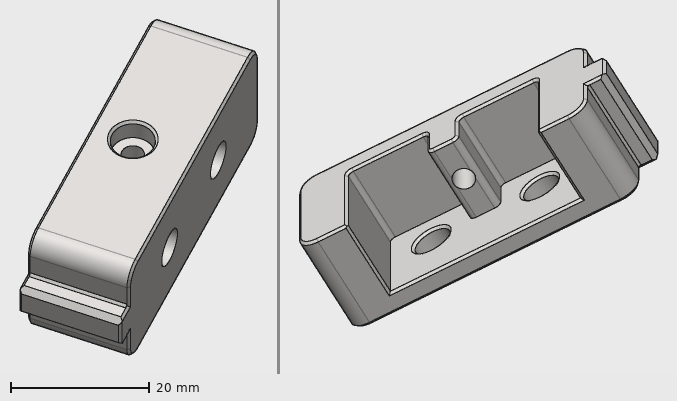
import cadquery as cq

width = 16.0
total_length = 50.85
height = 20.0
rail_projection = 3.15
body_length = total_length - rail_projection
corner_radius = 3.05
edge_chamfer = 0.4

rail_height = 5.7
rail_chamfer = 0.9

back_wall = 3.2
pocket_depth = width - back_wall
pocket_width = 31.55
pocket_ceiling = 6.0
pocket_radius = 0.8
block_width = 5.1
block_bottom = 0.0
block_radius = 1.0

wall_hole_diameter = 5.8
wall_hole_spacing = 18.0
screw_hole_diameter = 3.4
screw_head_diameter = 6.5
screw_head_depth = 3.45
screw_x = pocket_depth / 2


def make_body():
    """Rounded bar spanning 0..width in X, with a plain rectangular rail on its -Y face."""
    bar = (
        cq.Workplane("YZ")
        .rect(body_length, height)
        .extrude(width)
        .edges("|X")
        .fillet(corner_radius)
    )
    rail_start = -body_length / 2 - rail_projection
    rail = (
        cq.Workplane("XY")
        .box(width, rail_projection + corner_radius, rail_height, centered=(False, False, True))
        .translate((0, rail_start, 0))
    )
    return bar.union(rail)


def chamfer_rail(part):
    """Chamfer the rail's two tip edges and fill its two root corners."""
    face_y = -body_length / 2
    tip_y = face_y - rail_projection
    for side in (-1, 1):
        root_z = side * rail_height / 2
        fill = (
            cq.Workplane("YZ", origin=(edge_chamfer, 0, 0))
            .moveTo(face_y, root_z + side * edge_chamfer)
            .lineTo(face_y - edge_chamfer, root_z)
            .lineTo(face_y, root_z)
            .close()
            .extrude(width - 2 * edge_chamfer)
        )
        corner_cut = (
            cq.Workplane("YZ")
            .moveTo(tip_y, root_z)
            .lineTo(tip_y + rail_chamfer, root_z)
            .lineTo(tip_y, root_z - side * rail_chamfer)
            .close()
            .extrude(width)
        )
        part = part.union(fill).cut(corner_cut)
    return part


def make_pocket():
    """Volume removed by the pocket, leaving the hanging block in place."""
    bottom = -height / 2
    overshoot = 0.5
    pocket_height = pocket_ceiling - bottom + overshoot
    block_height = pocket_ceiling - block_bottom

    cavity = cq.Workplane("YZ").rect(pocket_width, pocket_height).extrude(pocket_depth)
    cavity = cavity.translate((0, 0, pocket_ceiling - pocket_height / 2))
    block = cq.Workplane("YZ").rect(block_width, block_height).extrude(pocket_depth)
    block = block.translate((0, 0, block_bottom + block_height / 2))
    cavity = cavity.cut(block)
    ceiling_corners = cq.selectors.BoxSelector(
        (-width, -pocket_width, pocket_ceiling - edge_chamfer),
        (2 * width, pocket_width, pocket_ceiling + edge_chamfer),
    )
    block_corners = cq.selectors.BoxSelector(
        (-width, -block_width, block_bottom - edge_chamfer),
        (2 * width, block_width, block_bottom + edge_chamfer),
    )
    cavity = cavity.edges(ceiling_corners).edges("|X").fillet(pocket_radius)
    cavity = cavity.edges(block_corners).edges("|X").fillet(block_radius)
    return cavity


def make_lower_flare():
    """Tapered volume that chamfers the pocket's lower edges on both legs and the back wall."""
    return (
        cq.Workplane("XY", origin=(0, 0, -height / 2))
        .rect(2 * (pocket_depth + edge_chamfer), pocket_width + 2 * edge_chamfer)
        .workplane(offset=edge_chamfer)
        .rect(2 * pocket_depth, pocket_width)
        .loft(ruled=True)
    )


def wall_hole(y):
    """Hole through the back wall, chamfered on its pocket side."""
    radius = wall_hole_diameter / 2
    return (
        cq.Workplane("XY", origin=(0, y, 0))
        .moveTo(pocket_depth, 0)
        .lineTo(pocket_depth, radius + edge_chamfer)
        .lineTo(pocket_depth + edge_chamfer, radius)
        .lineTo(width, radius)
        .lineTo(width, 0)
        .close()
        .revolve(360, (0, 0, 0), (1, 0, 0))
    )


def screw_hole():
    """Counterbored vertical hole through the top and the hanging block."""
    top = height / 2
    head_radius = screw_head_diameter / 2
    hole_radius = screw_hole_diameter / 2
    return (
        cq.Workplane("XZ", origin=(screw_x, 0, 0))
        .moveTo(0, top)
        .lineTo(head_radius + edge_chamfer, top)
        .lineTo(head_radius, top - edge_chamfer)
        .lineTo(head_radius, top - screw_head_depth)
        .lineTo(hole_radius, top - screw_head_depth)
        .lineTo(hole_radius, block_bottom)
        .lineTo(0, block_bottom)
        .close()
        .revolve(360, (0, 0, 0), (0, 1, 0))
    )


result = make_body().cut(make_pocket())
result = result.faces("<X or >X").edges().chamfer(edge_chamfer)
result = result.cut(make_lower_flare())
result = chamfer_rail(result)
for side in (-1, 1):
    result = result.cut(wall_hole(side * wall_hole_spacing / 2))
result = result.cut(screw_hole())